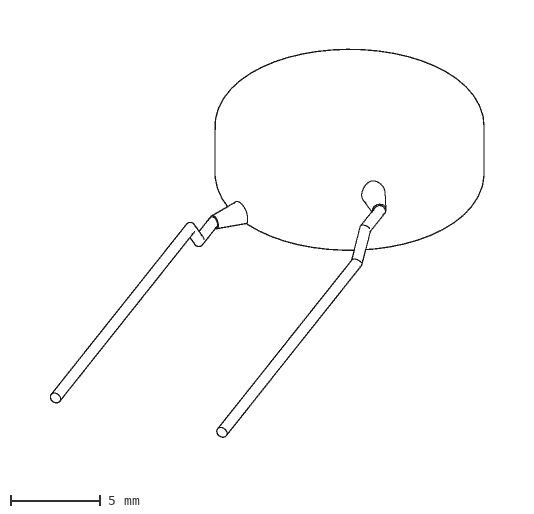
import cadquery as cq

disc_diameter = 15.0
disc_thickness = 5.0
disc_edge_radius = 1.0

total_length = 38.8
wire_diameter = 0.62
lead_spacing = 10.0
lead_start_y = -7.8
crimp_start_y = -10.0
crimp_end_y = -11.3

collar_root_diameter = 1.63
collar_tip_diameter = 0.78
collar_tip_distance = 9.27
collar_axis_y = -7.9

disc_radius = disc_diameter / 2
lead_x = lead_spacing / 2
lead_offset_z = disc_thickness / 2 - disc_edge_radius
lead_end_y = disc_radius - total_length
collar_root_distance = disc_radius - disc_edge_radius
collar_length = collar_tip_distance - collar_root_distance


def make_disc():
    """Round disc with rounded top and bottom edges."""
    return (
        cq.Workplane("XY", origin=(0, 0, -disc_thickness / 2))
        .circle(disc_radius)
        .extrude(disc_thickness)
        .edges("%CIRCLE")
        .fillet(disc_edge_radius)
    )


def make_lead(side):
    """Wire along -Y that is crimped to the mid-plane with mitred bends."""
    x = side * lead_x
    z = side * lead_offset_z
    path = cq.Workplane("XY").polyline(
        [
            (x, lead_start_y, z),
            (x, crimp_start_y, z),
            (x, crimp_end_y, 0),
            (x, lead_end_y, 0),
        ]
    )
    return (
        cq.Workplane("XZ", origin=(x, lead_start_y, z))
        .circle(wire_diameter / 2)
        .sweep(path, transition="right")
    )


def make_collar(side, disc, lead):
    """Radial cone shaped to the disc rim at its root, with a recess for the lead end in its tip."""
    direction = cq.Vector(side * lead_x, collar_axis_y, 0).normalized()
    root_centre = direction * collar_root_distance + cq.Vector(0, 0, side * lead_offset_z)
    root_plane = cq.Plane(origin=root_centre, xDir=(0, 0, 1), normal=direction)
    cone = (
        cq.Workplane(root_plane)
        .circle(collar_root_diameter / 2)
        .workplane(offset=collar_length)
        .circle(collar_tip_diameter / 2)
        .loft(ruled=True)
    )
    return cone.cut(disc).cut(lead)


disc = make_disc()
leads = []
collars = []
for side in (-1, 1):
    lead = make_lead(side)
    collar = make_collar(side, disc, lead)
    leads.append(lead.solids().val())
    collars.append(collar.solids().val())

result = cq.Compound.makeCompound([disc.solids().val(), *leads, *collars])